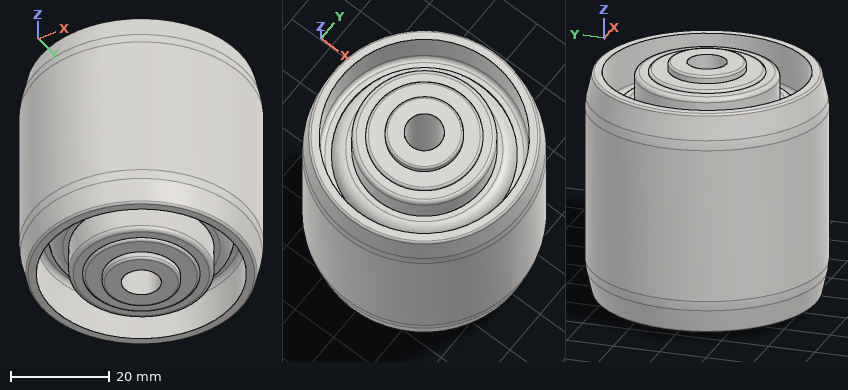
import cadquery as cq

TOTAL_LENGTH = 52.4
HALF_LENGTH = TOTAL_LENGTH / 2
BOSS_HEIGHT = 1.6
COLLAR_HEIGHT = 0.6
COLLAR_Z = HALF_LENGTH - BOSS_HEIGHT
HUB_Z = COLLAR_Z - COLLAR_HEIGHT
RIM_Z = HUB_Z

TREAD_RADIUS = 25.0
RIM_RADIUS = 23.55
RECESS_RADIUS = 21.45
CORE_RADIUS = 18.95
HUB_RADIUS = 14.85
COLLAR_RADIUS = 12.0
BOSS_RADIUS = 8.0
BORE_RADIUS = 4.1

SHOULDER_Z = 17.6
CORE_Z = 17.25
RECESS_FLOOR_Z = 14.3

SHOULDER_BLEND = 9.45
RIM_ROUND = 0.5
RECESS_ROUND = 1.1
CORE_ROUND = CORE_Z - RECESS_FLOOR_Z
HUB_ROUND = 0.95
COLLAR_ROUND = COLLAR_HEIGHT
BOSS_ROUND = 0.45


def cylinder(radius, bottom, top):
    """Cylinder on the Z axis between two heights."""
    return cq.Workplane("XY").workplane(offset=bottom).circle(radius).extrude(top - bottom)


def rounded_post(radius, half_length, edge_round):
    """Post on the Z axis, centred on the origin, with both end edges rounded."""
    return cylinder(radius, -half_length, half_length).faces("|Z").edges().fillet(edge_round)


def tread():
    """Barrel with tapered, blended shoulders and rounded rims."""
    profile = [
        (0, -RIM_Z),
        (RIM_RADIUS, -RIM_Z),
        (TREAD_RADIUS, -SHOULDER_Z),
        (TREAD_RADIUS, SHOULDER_Z),
        (RIM_RADIUS, RIM_Z),
        (0, RIM_Z),
    ]
    barrel = cq.Workplane("XZ").polyline(profile).close().revolve(360, (0, 0, 0), (0, 1, 0))
    rim_edges = barrel.faces("|Z").edges()
    barrel = rim_edges.fillet(RIM_ROUND)
    middle_face = cq.selectors.NearestToPointSelector((TREAD_RADIUS, 0, 0))
    return barrel.faces(middle_face).edges("%CIRCLE").fillet(SHOULDER_BLEND)


def end_recess():
    """Cavity in the upper end, with a rounded corner at its floor."""
    cavity = cylinder(RECESS_RADIUS, RECESS_FLOOR_Z, RIM_Z)
    return cavity.faces("<Z").edges().fillet(RECESS_ROUND)


upper_recess = end_recess()
shell = tread().cut(upper_recess).cut(upper_recess.mirror("XY"))

result = (
    shell
    .union(rounded_post(CORE_RADIUS, CORE_Z, CORE_ROUND))
    .union(rounded_post(HUB_RADIUS, HUB_Z, HUB_ROUND))
    .union(rounded_post(COLLAR_RADIUS, COLLAR_Z, COLLAR_ROUND))
    .union(rounded_post(BOSS_RADIUS, HALF_LENGTH, BOSS_ROUND))
    .cut(cylinder(BORE_RADIUS, -HALF_LENGTH, HALF_LENGTH))
)